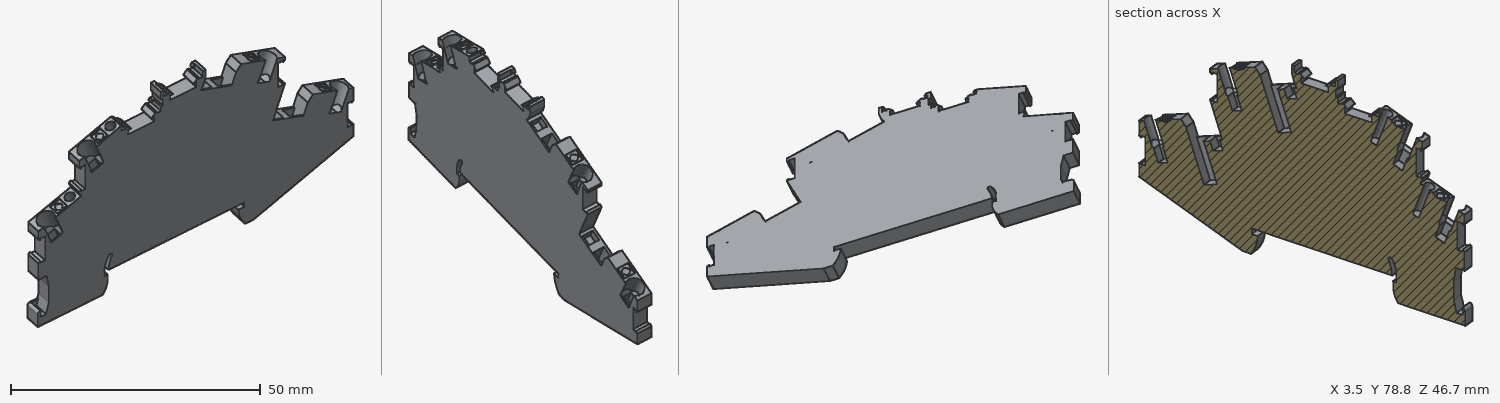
import cadquery as cq
import math

THICKNESS = 3.5
LENGTH = 78.8
HEIGHT = 46.7
FRONT = -LENGTH / 2
BACK = LENGTH / 2
SIDE = THICKNESS / 2

SLOPE = math.radians(20)
RISE = math.tan(SLOPE)

HEAD_STEP_Y = 17.9
HEAD_STEP_Z = -17.7
HEAD_PEAK = (11.35, 43.5)
HEAD_CORNER = (9.0, 39.0)
HEAD_WALL_HEIGHT = 3.0
HEAD_SHOULDER = (HEAD_CORNER[0] + HEAD_WALL_HEIGHT * RISE, HEAD_CORNER[1] + HEAD_WALL_HEIGHT)
UPPER_HEAD_BACK = 22.3
UPPER_HEAD_LEDGE_END = 1.35
LOWER_HEAD_LEDGE_END = 19.3

FACE_TOP = (-18.6, 42.95)
UPPER_FACE_FRONT = -29.1
FACE_STEP_Y = -10.2
FACE_STEP_Z = -13.5
LOWER_FACE_FRONT = UPPER_FACE_FRONT + FACE_STEP_Y
LOWER_FACE_START = -28.6
UPPER_FACE_CHIN_Z = 30.65

NOTCH_HEIGHT = 6.4
NOTCH_LIP = 0.4
NOTCH_LIP_INSET = 0.5
SHALLOW_NOTCH = 1.5
DEEP_NOTCH = 1.7
LOWER_FRONT_NOTCH_DEPTH = 1.65
LOWER_BACK_NOTCH_Z = 12.3
UPPER_BACK_NOTCH_Z = 32.4
UPPER_FRONT_NOTCH_Z = 30.8
LOWER_FRONT_NOTCH_Z = 17.0

UPPER_GROOVE = (-3.1, 43.35)
LOWER_GROOVE = (-13.55, 39.7)
GROOVE_WALL = 3.2
GROOVE_LIP = 2.5
LIP_TOP_INNER = 3.5
LIP_TOP_OUTER = 3.95
GROOVE_POST = 4.9
LIP_HEIGHT = 1.2
LIP_TOP_HEIGHT = 2.1
SHELF_HEIGHT = 1.9
UPPER_POST_HEIGHT = HEIGHT - UPPER_GROOVE[1]
LOWER_POST_HEIGHT = 3.15
POST_OUTSIDE = 5.6
POST_WAIST_Z = 44.75
BACK_POST_ROOT = (2.05, 43.1)
FRONT_POST_FOOT_Z = 44.45
SHARED_POST_THICKNESS = 0.5
BARB_TIP = 4.25
BARB_TOP = 4.65
BARB_HEIGHT = 2.7
BARB_WIDTH = 0.8

RAIL_TOP = 5.9
HOOK_TOP = 4.7
BACK_HOOK_WALL = 12.1
FOOT_BACK_END = (14.35, 0)
TOE_TOP = 4.0
TOE_RADIUS = 0.7
GRIP_BOTTOM = (-36.65, 5.2)
GRIP_FLARE = 0.27
GRIP_END = (GRIP_BOTTOM[0] - GRIP_FLARE * (GRIP_BOTTOM[1] - TOE_TOP), TOE_TOP)
FINGER_GRIP = [(-37.2, 12.6), (-36.65, 9.5), GRIP_BOTTOM, GRIP_END]
TOE_SKIN = 0.3
TOE_POCKET_DEPTH = 1.6
BACK_HOOK_TIP = (10.6, HOOK_TOP)
BACK_HOOK_BEND = (11.2, 2.1)
BACK_HOOK_HEEL = (12.4, 0)
FRONT_HOOK_HEEL = (-23.2, 0)
FRONT_HOOK_BEND = (-22.3, 1.5)
FRONT_HOOK_TIP = (-21.9, 3.15)

RELIEF_FRONT_Y = -22.7
RELIEF_FRONT_START = (RELIEF_FRONT_Y, 6.8)
RELIEF_FRONT_BEND = (-22.3, 8.6)
RELIEF_FRONT_END = (-21.6, 9.8)
RELIEF_TOP = (-21.1, 9.9)
RELIEF_BACK_END = (-20.9, 9.45)
RELIEF_BACK_BEND = (-21.5, 7.8)
RELIEF_BACK_START = (-21.75, RAIL_TOP)

BORE_DIAMETER = 3.95
BORE_DEPTH = 4.9
BORE_X = 0.5
FUNNEL_DEPTH = 1.3
THROAT_WIDTH = 1.9
THROAT_LENGTH = 2.3
THROAT_DEPTH = 3.15
THROAT_SHIFT = -0.4
WINDOW_LENGTH = 2.5
WINDOW_WIDTH = 2.6
WINDOW_DEPTH = 0.3
DIMPLE_DIAMETER = 1.6
DIMPLE_DEPTH = 0.2
DRIVER_SLOT_WIDTH = 2.1
DRIVER_SLOT_LENGTH = 0.55
TEST_HOLE_DIAMETER = 2.2
TEST_HOLE_DEPTH = 7.9
HEAD_BORE_FROM_PEAK = 8.0
HEAD_WINDOW_FROM_PEAK = 4.2
FACE_TEST_HOLE_FROM_TOP = 1.5
FACE_WINDOW_FROM_TOP = 4.5
FACE_BORE_FROM_TOP = 8.2
POCKET_X = 0.1
POCKET_WIDTH = 2.45
SLOT_LENGTH = 3.2
SLOT_DEPTH = 9.45
RECESS_FROM_CORNER = 5.0
RECESS_LENGTH = 2.4
RECESS_DEPTH = 2.2


def shifted(point, dy, dz):
    return (point[0] + dy, point[1] + dz)


def lower_head(point):
    return shifted(point, HEAD_STEP_Y, HEAD_STEP_Z)


def lower_face(point):
    return shifted(point, FACE_STEP_Y, FACE_STEP_Z)


def downhill(point, y):
    """Point at `y` on the line that falls away from `point` at the slope angle."""
    return (y, point[1] - abs(y - point[0]) * RISE)


def uphill(point, y):
    """Point at `y` on the line that climbs from `point` at the slope angle."""
    return (y, point[1] + abs(y - point[0]) * RISE)


def notch(edge, depth, low):
    """Lipped notch in an end edge, listed from its lower to its upper corner."""
    inward = -math.copysign(1, edge)
    high = low + NOTCH_HEIGHT
    lip = edge + inward * NOTCH_LIP_INSET
    wall = edge + inward * depth
    return [
        (edge, low),
        (lip, low + NOTCH_LIP),
        (lip, low),
        (wall, low),
        (wall, high),
        (lip, high),
        (lip, high - NOTCH_LIP),
        (edge, high),
    ]


def groove(centre, back_post, front_post):
    """Marker groove between two posts, listed from the back post to the front post."""
    def half(post_height):
        return [
            (GROOVE_POST, post_height),
            (GROOVE_POST, SHELF_HEIGHT),
            (LIP_TOP_OUTER, SHELF_HEIGHT),
            (LIP_TOP_OUTER, LIP_TOP_HEIGHT),
            (LIP_TOP_INNER, LIP_TOP_HEIGHT),
            (GROOVE_LIP, LIP_HEIGHT),
            (GROOVE_WALL, LIP_HEIGHT),
            (GROOVE_WALL, 0),
        ]

    back = [shifted(centre, y, z) for y, z in half(back_post)]
    front = [shifted(centre, -y, z) for y, z in half(front_post)]
    return back + front[::-1]


def body():
    """Side outline extruded across the full thickness."""
    back_edge = (
        [FOOT_BACK_END, uphill(FOOT_BACK_END, BACK)]
        + notch(BACK, SHALLOW_NOTCH, LOWER_BACK_NOTCH_Z)
        + [downhill(lower_head(HEAD_PEAK), BACK)]
        + [lower_head(p) for p in (HEAD_PEAK, HEAD_SHOULDER, HEAD_CORNER)]
        + [uphill(lower_head(HEAD_CORNER), LOWER_HEAD_LEDGE_END)]
        + notch(UPPER_HEAD_BACK, DEEP_NOTCH, UPPER_BACK_NOTCH_Z)
        + [downhill(HEAD_PEAK, UPPER_HEAD_BACK), HEAD_PEAK, HEAD_SHOULDER, HEAD_CORNER]
        + [uphill(HEAD_CORNER, UPPER_HEAD_LEDGE_END)]
    )
    post_back = UPPER_GROOVE[0] + POST_OUTSIDE
    post_front = UPPER_GROOVE[0] - POST_OUTSIDE
    post_foot = LOWER_GROOVE[0] + GROOVE_POST + SHARED_POST_THICKNESS
    top_edge = (
        [BACK_POST_ROOT, (post_back, POST_WAIST_Z), (post_back, HEIGHT)]
        + groove(UPPER_GROOVE, UPPER_POST_HEIGHT, UPPER_POST_HEIGHT)
        + [(post_front, HEIGHT), (post_front, POST_WAIST_Z), (post_foot, FRONT_POST_FOOT_Z)]
        + [(post_foot, LOWER_GROOVE[1] + LOWER_POST_HEIGHT)]
        + groove(LOWER_GROOVE, LOWER_POST_HEIGHT, LOWER_POST_HEIGHT)
    )
    front_edge = (
        [FACE_TOP, downhill(FACE_TOP, UPPER_FACE_FRONT)]
        + notch(UPPER_FACE_FRONT, SHALLOW_NOTCH, UPPER_FRONT_NOTCH_Z)[::-1]
        + [(UPPER_FACE_FRONT, UPPER_FACE_CHIN_Z), downhill(lower_face(FACE_TOP), LOWER_FACE_START)]
        + [downhill(lower_face(FACE_TOP), LOWER_FACE_FRONT)]
        + notch(LOWER_FACE_FRONT, LOWER_FRONT_NOTCH_DEPTH, LOWER_FRONT_NOTCH_Z)[::-1]
        + [(LOWER_FACE_FRONT, FINGER_GRIP[0][1])] + FINGER_GRIP
        + [(FRONT + TOE_RADIUS, TOE_TOP)]
    )
    toe_mid = TOE_RADIUS * (1 - math.sqrt(0.5))
    return (
        cq.Workplane("YZ", origin=(-SIDE, 0, 0))
        .polyline(back_edge + top_edge + front_edge)
        .threePointArc((FRONT + toe_mid, TOE_TOP - toe_mid), (FRONT, TOE_TOP - TOE_RADIUS))
        .lineTo(FRONT, 0)
        .lineTo(*FRONT_HOOK_HEEL)
        .threePointArc(FRONT_HOOK_BEND, FRONT_HOOK_TIP)
        .lineTo(FRONT_HOOK_TIP[0], HOOK_TOP)
        .lineTo(RELIEF_FRONT_Y, HOOK_TOP)
        .lineTo(*RELIEF_FRONT_START)
        .threePointArc(RELIEF_FRONT_BEND, RELIEF_FRONT_END)
        .threePointArc(RELIEF_TOP, RELIEF_BACK_END)
        .threePointArc(RELIEF_BACK_BEND, RELIEF_BACK_START)
        .lineTo(BACK_HOOK_WALL, RAIL_TOP)
        .lineTo(BACK_HOOK_WALL, HOOK_TOP)
        .lineTo(*BACK_HOOK_TIP)
        .threePointArc(BACK_HOOK_BEND, BACK_HOOK_HEEL)
        .close()
        .extrude(THICKNESS)
    )


def toe_pocket():
    """Pocket behind the toe rim, open to +X and closed by a thin skin at -X."""
    floor = TOE_TOP - TOE_POCKET_DEPTH
    rim = FRONT + TOE_RADIUS
    section = [
        GRIP_END,
        shifted(GRIP_END, -GRIP_FLARE * TOE_POCKET_DEPTH, -TOE_POCKET_DEPTH),
        (rim, floor),
        (rim, TOE_TOP),
    ]
    pocket = cq.Workplane("YZ", origin=(-SIDE + TOE_SKIN, 0, 0)).polyline(section).close()
    return pocket.extrude(THICKNESS - TOE_SKIN)


def barbs(centre, post_height):
    """Two small barbs facing each other across a groove, at the -X side only."""
    section = [
        (GROOVE_POST, BARB_HEIGHT),
        (BARB_TIP, BARB_HEIGHT),
        (BARB_TOP, post_height),
        (GROOVE_POST, post_height),
    ]
    pair = cq.Workplane("YZ", origin=(-SIDE, 0, 0))
    for hand in (1, -1):
        pair = pair.polyline([shifted(centre, hand * y, z) for y, z in section]).close()
    return pair.extrude(BARB_WIDTH)


def on_slope(start, facing, distance, x=0.0):
    """Workplane on a slope, `distance` downhill of `start`; `facing` is 1 for +Y, -1 for -Y."""
    y = start[0] + facing * distance * math.cos(SLOPE)
    z = start[1] - distance * math.sin(SLOPE)
    normal = (0, facing * math.sin(SLOPE), math.cos(SLOPE))
    return cq.Workplane(cq.Plane(origin=(x, y, z), xDir=(1, 0, 0), normal=normal))


def bore(start, facing, distance):
    """Wire entry that breaks through the +X side, then funnels into a rectangular throat."""
    plane = on_slope(start, facing, distance, BORE_X)
    entry = plane.circle(BORE_DIAMETER / 2).extrude(-BORE_DEPTH)
    funnel = (
        plane.workplane(offset=-BORE_DEPTH)
        .rect(BORE_DIAMETER, BORE_DIAMETER)
        .workplane(offset=-FUNNEL_DEPTH)
        .center(THROAT_SHIFT, 0)
        .rect(THROAT_WIDTH, THROAT_LENGTH)
        .loft(ruled=True)
    )
    core = plane.circle(BORE_DIAMETER / 2).extrude(-BORE_DEPTH - FUNNEL_DEPTH)
    throat = (
        plane.workplane(offset=-BORE_DEPTH - FUNNEL_DEPTH)
        .center(THROAT_SHIFT, 0)
        .rect(THROAT_WIDTH, THROAT_LENGTH)
        .extrude(-THROAT_DEPTH)
    )
    return entry.union(core.intersect(funnel)).union(throat)


def window(start, facing, distance):
    """Shallow rectangular window with a slotted round dimple in its floor."""
    plane = on_slope(start, facing, distance)
    frame = plane.rect(WINDOW_WIDTH, WINDOW_LENGTH).extrude(-WINDOW_DEPTH)
    full_depth = WINDOW_DEPTH + DIMPLE_DEPTH
    dimple = plane.circle(DIMPLE_DIAMETER / 2).extrude(-full_depth)
    driver_slot = plane.rect(DRIVER_SLOT_WIDTH, DRIVER_SLOT_LENGTH).extrude(-full_depth)
    return frame.union(dimple).union(driver_slot)


def ledge_pocket(corner, distance, length, depth):
    """Rectangular pocket in the ledge, starting `distance` uphill of its corner."""
    middle = -(distance + length / 2)
    return on_slope(corner, 1, middle, POCKET_X).rect(POCKET_WIDTH, length).extrude(-depth)


result = body().cut(toe_pocket())
result = result.union(barbs(UPPER_GROOVE, UPPER_POST_HEIGHT))
result = result.union(barbs(LOWER_GROOVE, LOWER_POST_HEIGHT))

for peak, corner in (
    (HEAD_PEAK, HEAD_CORNER),
    (lower_head(HEAD_PEAK), lower_head(HEAD_CORNER)),
):
    result = result.cut(bore(peak, 1, HEAD_BORE_FROM_PEAK))
    result = result.cut(window(peak, 1, HEAD_WINDOW_FROM_PEAK))
    result = result.cut(ledge_pocket(corner, 0, SLOT_LENGTH, SLOT_DEPTH))
    result = result.cut(ledge_pocket(corner, RECESS_FROM_CORNER, RECESS_LENGTH, RECESS_DEPTH))

for top in (FACE_TOP, lower_face(FACE_TOP)):
    test_hole = on_slope(top, -1, FACE_TEST_HOLE_FROM_TOP).circle(TEST_HOLE_DIAMETER / 2)
    result = result.cut(test_hole.extrude(-TEST_HOLE_DEPTH))
    result = result.cut(window(top, -1, FACE_WINDOW_FROM_TOP))
    result = result.cut(bore(top, -1, FACE_BORE_FROM_TOP))